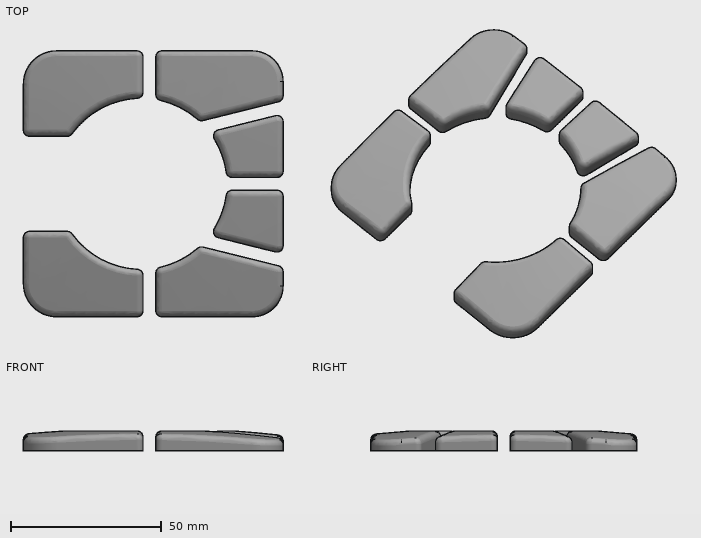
import cadquery as cq
import math

overall_width = 86.4
left_x = -39.25
right_x = left_x + overall_width
half_depth = 44.2
opening_radius = 28.4
edge_radius = 2.1
left_corner_radius = 11.1
right_corner_radius = 10.3

gap = 4.15
middle_gap_x = 2.65
left_end_y = 15.7
split_angle = 14.0
split_right_y = 25.5

dome_radius = 424.3
dome_height = 7.8

upright_edges = cq.selectors.ParallelDirSelector(cq.Vector(0, 0, 1))


def split_y(x, side):
    """Y at x of the sloped gap's upper (side 1) or lower (side -1) edge."""
    angle = math.radians(split_angle)
    return split_right_y + (x - right_x) * math.tan(angle) + side * gap / 2 / math.cos(angle)


def plate_with_opening(points):
    """Flat plate with the given corners, cut by the round opening."""
    plate = cq.Workplane("XY").polyline(points).close().extrude(dome_height)
    opening = cq.Workplane("XY").circle(opening_radius).extrude(dome_height)
    return plate.cut(opening)


def domed_body(plate, smooth_region=None):
    """Trim a plate to the dome, then round its upright edges and the rim of its top together.

    Upright edges inside smooth_region are already smooth and stay as they are.
    """
    ball = cq.Workplane("XY").sphere(dome_radius).translate((0, 0, dome_height - dome_radius))
    body = plate.intersect(ball)
    to_round = upright_edges
    if smooth_region:
        to_round = upright_edges - smooth_region
    return body.edges(to_round).add(body.faces(">Z").edges()).fillet(edge_radius)


def corner_body(points, outer_x, outer_radius):
    """Domed corner body whose outer corner, at outer_x, has the large outer_radius."""
    plate = plate_with_opening(points)
    reach = outer_radius + edge_radius
    outer_corner = cq.selectors.BoxSelector(
        (outer_x - reach, half_depth - reach, 0),
        (outer_x + reach, half_depth + reach, dome_height),
    )
    plate = plate.edges(upright_edges & outer_corner).fillet(outer_radius)
    return domed_body(plate, outer_corner)


def left_corner():
    """Corner body on the -X side, at +Y."""
    inner_x = middle_gap_x - gap / 2
    points = [
        (left_x, left_end_y),
        (inner_x, left_end_y),
        (inner_x, half_depth),
        (left_x, half_depth),
    ]
    return corner_body(points, left_x, left_corner_radius)


def right_corner():
    """Corner body on the +X side, at +Y, with a sloped side towards the key."""
    inner_x = middle_gap_x + gap / 2
    points = [
        (inner_x, split_y(inner_x, 1)),
        (right_x, split_y(right_x, 1)),
        (right_x, half_depth),
        (inner_x, half_depth),
    ]
    return corner_body(points, right_x, right_corner_radius)


def key():
    """Small body between a right corner body and the XZ plane, at +Y."""
    start_x = opening_radius / 2
    points = [
        (start_x, gap / 2),
        (right_x, gap / 2),
        (right_x, split_y(right_x, -1)),
        (start_x, split_y(start_x, -1)),
    ]
    return domed_body(plate_with_opening(points))


bodies = []
for body in (left_corner(), right_corner(), key()):
    bodies.append(body.val())
    bodies.append(body.mirror("XZ").val())

result = cq.Compound.makeCompound(bodies)